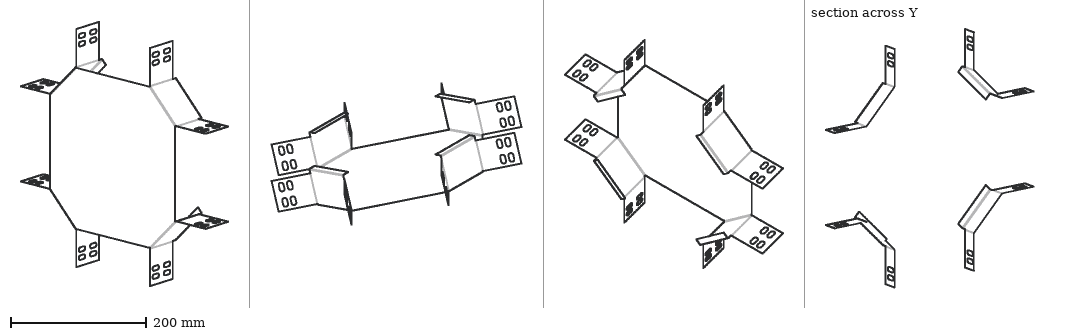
import cadquery as cq
import math

overall_span = 367.81
overall_depth = 59.4
sheet = 0.7
bend_inner_radius = 1.1
plate_span = 249.0
branch_width = 147.6
wall_overhang = 1.1
lip_width = 11.5
tab_depth = 50.0
slot_length = 14.0
slot_width = 7.0
slot_end_distance = 12.7
slot_pitch_along = 12.5
slot_pitch_across = 25.0
tab_bend_angle = 45.0

bend_outer_radius = bend_inner_radius + sheet
half_span = overall_span / 2
half_plate = plate_span / 2
half_branch = branch_width / 2
wall_corner = half_plate + wall_overhang
wall_distance = (wall_corner + half_branch) / math.sqrt(2)
bend_setback = bend_inner_radius * math.tan(math.radians(tab_bend_angle / 2))
wall_length = (wall_corner - half_branch) * math.sqrt(2) - 2 * bend_setback
tab_base = bend_outer_radius
tab_middle = tab_base + tab_depth / 2

TOWARDS_PLUS_Y = -1


def base_plate():
    """Octagonal plate whose slanted sides stop where the wall bends begin."""
    slant_distance = wall_distance - bend_outer_radius
    half_edge = slant_distance * math.sqrt(2) - half_plate
    half_outline = [
        (half_plate, -half_edge),
        (half_plate, half_edge),
        (half_edge, half_plate),
        (-half_edge, half_plate),
    ]
    outline = half_outline + [(-x, -z) for x, z in half_outline]
    return cq.Workplane("XZ").polyline(outline).close().extrude(TOWARDS_PLUS_Y * sheet)


def corner_channel():
    """C-shaped wall bent up from the plate and over into the lip, facing +X."""
    outer = wall_distance
    inner = outer - sheet
    bend_start = outer - bend_outer_radius
    lip_end = outer - lip_width
    top = overall_depth
    profile = (
        cq.Workplane("XY")
        .moveTo(bend_start, 0)
        .radiusArc((outer, bend_outer_radius), -bend_outer_radius)
        .lineTo(outer, top - bend_outer_radius)
        .radiusArc((bend_start, top), -bend_outer_radius)
        .lineTo(lip_end, top)
        .lineTo(lip_end, top - sheet)
        .lineTo(bend_start, top - sheet)
        .radiusArc((inner, top - bend_outer_radius), bend_inner_radius)
        .lineTo(inner, bend_outer_radius)
        .radiusArc((bend_start, sheet), bend_inner_radius)
        .close()
    )
    return profile.extrude(wall_length / 2, both=True)


def slot_cutter():
    """Four slots of the tab on the +X, +Z side, running through along Z."""
    first = half_span - slot_end_distance
    centres = [
        (first - column * slot_pitch_along, tab_middle + side * slot_pitch_across / 2)
        for column in (0, 1)
        for side in (-1, 1)
    ]
    return cq.Workplane("XY").pushPoints(centres).slot2D(slot_length, slot_width, 90).extrude(half_span)


def tab():
    """Slotted tab on the +X, +Z side with the bend that joins it to the wall."""
    bend_x = wall_corner + bend_setback
    bend_z = half_branch + bend_inner_radius

    def on_bend(radius, degrees):
        angle = math.radians(degrees)
        return (bend_x - radius * math.sin(angle), bend_z - radius * math.cos(angle))

    half_bend = tab_bend_angle / 2
    outline = (
        cq.Workplane("XZ", origin=(0, tab_base, 0))
        .moveTo(half_span, half_branch)
        .lineTo(*on_bend(bend_inner_radius, 0))
        .threePointArc(on_bend(bend_inner_radius, half_bend), on_bend(bend_inner_radius, tab_bend_angle))
        .lineTo(*on_bend(bend_outer_radius, tab_bend_angle))
        .threePointArc(on_bend(bend_outer_radius, half_bend), on_bend(bend_outer_radius, 0))
        .lineTo(half_span, half_branch - sheet)
        .close()
    )
    return outline.extrude(TOWARDS_PLUS_Y * tab_depth).cut(slot_cutter())


def turn_about_y(solid, degrees):
    """Solid turned about the Y axis through the centre of the part."""
    return solid.rotate((0, 0, 0), (0, 1, 0), degrees)


def corner():
    """Wall with its lip and two tabs, for the +X, +Z corner."""
    wall = turn_about_y(corner_channel(), -tab_bend_angle)
    side_tab = tab()
    upper_tab = turn_about_y(side_tab.mirror("XY"), -90)
    return wall.union(side_tab).union(upper_tab)


result = base_plate()
for quarter in range(4):
    result = result.union(turn_about_y(corner(), quarter * 90))